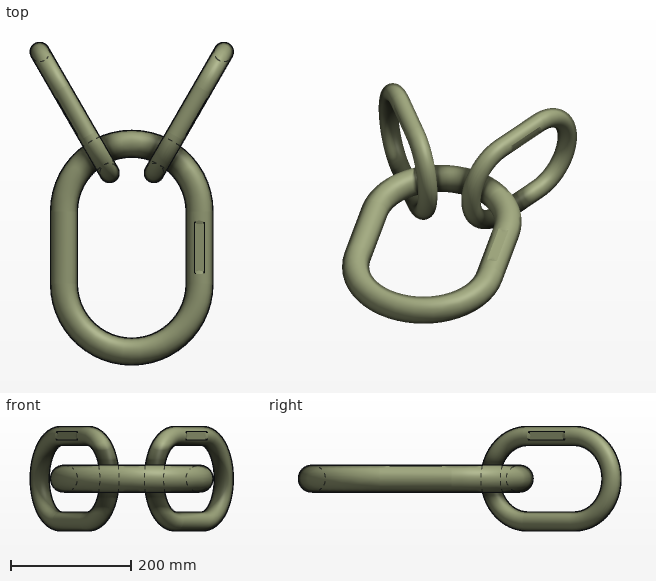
import cadquery as cq
import math

master_wire = 45.0
master_width = 270.0
master_straight = 120.0
master_pocket_length = 89.0

side_wire = 32.0
side_width = 174.0
side_straight = 90.0
side_pocket_length = 73.5
splay_angle = 30.0
side_center_x = 95.0
side_center_y = 224.5

pocket_depth = 1.5
ramp_length = 6.0


def make_chain_loop(wire, width, straight):
    """Round wire bent into a long loop in the XY plane, long axis along Y."""
    bend_radius = (width - wire) / 2
    half_straight = straight / 2
    path = (
        cq.Workplane("XY")
        .moveTo(bend_radius, -half_straight)
        .lineTo(bend_radius, half_straight)
        .threePointArc((0, half_straight + bend_radius), (-bend_radius, half_straight))
        .lineTo(-bend_radius, -half_straight)
        .threePointArc((0, -half_straight - bend_radius), (bend_radius, -half_straight))
        .close()
    )
    return (
        cq.Workplane("XZ", origin=(bend_radius, -half_straight, 0))
        .circle(wire / 2)
        .sweep(path)
    )


def make_pocket_cutter(wire, length):
    """Flat-floored cutter for a leg on the Y axis, with a crowned ramp at each end."""
    floor_height = wire / 2 - pocket_depth
    cutter = cq.Workplane("XY").box(wire, length + wire, wire, centered=(True, True, False))
    cutter = cutter.translate((0, 0, floor_height))

    ramp_angle = math.atan2(pocket_depth, ramp_length)
    crown_radius = wire
    ramp_start = length / 2 - ramp_length
    for end in (-1, 1):
        along_ramp = cq.Vector(0, end * math.cos(ramp_angle), math.sin(ramp_angle))
        toward_axis = cq.Vector(0, end * math.sin(ramp_angle), -math.cos(ramp_angle))
        ramp_foot = cq.Vector(0, end * ramp_start, floor_height)
        cylinder_start = ramp_foot + toward_axis * crown_radius - along_ramp * wire
        ramp = cq.Solid.makeCylinder(crown_radius, 3 * wire, cylinder_start, along_ramp)
        cutter = cutter.cut(cq.Workplane(ramp))
    return cutter


def make_link(wire, width, straight, pocket_length):
    """Loop with a marking pocket on the +Z side of its +X leg."""
    leg_offset = (width - wire) / 2
    pocket = make_pocket_cutter(wire, pocket_length).translate((leg_offset, 0, 0))
    return make_chain_loop(wire, width, straight).cut(pocket).solids().val()


def make_side_link(side):
    """Upright link hooked over the master link; side is -1 for left and 1 for right."""
    splay = math.radians(splay_angle)
    placement = cq.Plane(
        origin=(side * side_center_x, side_center_y, 0),
        xDir=(0, 0, 1),
        normal=(side * math.cos(splay), -math.sin(splay), 0),
    )
    link = make_link(side_wire, side_width, side_straight, side_pocket_length)
    return link.moved(cq.Location(placement))


master_link = make_link(master_wire, master_width, master_straight, master_pocket_length)
side_links = [make_side_link(side) for side in (-1, 1)]

result = cq.Compound.makeCompound([master_link, *side_links])